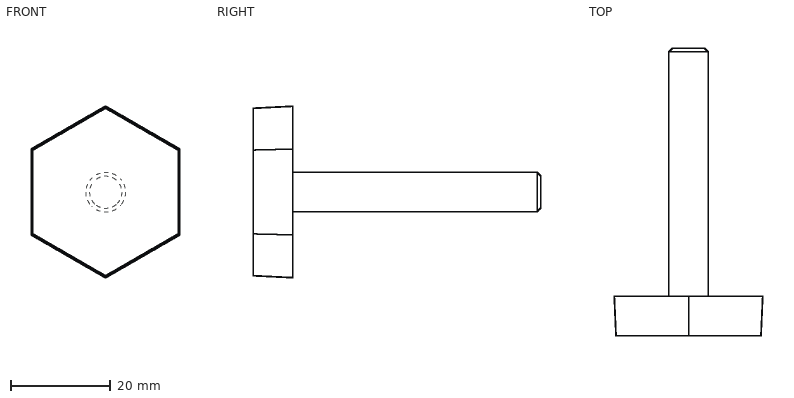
import cadquery as cq
import math

total_length = 58.0
across_flats = 30.0
head_height = 8.0
head_draft = 2.5
shank_diameter = 8.0
tip_chamfer = 0.75

shank_length = total_length - head_height
across_corners = across_flats / math.cos(math.radians(30))


def make_head():
    """Drafted hexagon with flats facing +X and -X, from y = 0 towards -Y."""
    return (
        cq.Workplane("XZ")
        .transformed(rotate=(0, 0, 90))
        .polygon(6, across_corners)
        .extrude(head_height, taper=head_draft)
    )


def make_shank():
    """Round shank from y = 0 towards +Y, chamfered at its tip."""
    return (
        cq.Workplane("XZ")
        .circle(shank_diameter / 2)
        .extrude(-shank_length)
        .faces(">Y")
        .chamfer(tip_chamfer)
    )


result = make_head().union(make_shank())